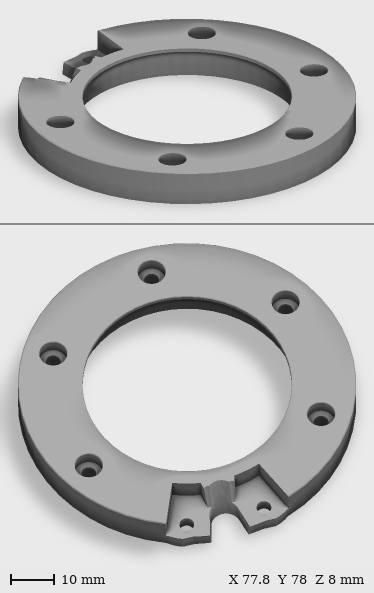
import cadquery as cq
import math

outer_radius = 39.0
bore_radius = 24.1
height = 8.0
edge_chamfer = 0.2
bore_chamfer = 0.15

lip_thickness = 1.0
lower_bore_radius = 26.05

bolt_circle_radius = 32.0
bolt_angles = (-120, -60, 0, 60, 120)
hole_radius = 1.7
counterbore_radius = 3.2
counterbore_depth = 3.4
counterbore_chamfer = 0.15

floor_height = 3.05
recess_half_angle = 22.0
recess_inner_radius = 27.6
cut_reach = 54.6
tab_hole_x = -34.4
tab_hole_y = 9.2

rib_root_x = -27.4
rib_root_half_width = 4.0
rib_flank_angle = 10.0
rib_back_top_x = -28.55
rib_groove_half_width = 3.9
rib_groove_radius = 1.0

notch_radius = 3.4
notch_center_x = -35.2
notch_flank_angle = 13.5
notch_rise_shift = 4.05

pad_face_x = -38.1
pad_start_y = 7.4
pad_corner_y = 11.1
pad_arc_middle = (-37.35, 12.9)
pad_end = (-36.2, 14.5)
pad_root_x = -34.3
pad_draft = 2.3


def make_ring():
    """Ring with its lipped bore, as one revolved section."""
    lip_z = height - lip_thickness
    section = [
        (lower_bore_radius, 0),
        (outer_radius, 0),
        (outer_radius, height - edge_chamfer),
        (outer_radius - edge_chamfer, height),
        (bore_radius + bore_chamfer, height),
        (bore_radius, height - bore_chamfer),
        (bore_radius, lip_z),
        (lower_bore_radius, lip_z),
    ]
    return cq.Workplane("XZ").polyline(section).close().revolve(360, (0, 0), (0, 1))


def lean(outline):
    """Sweep an outline at the bottom face up the leaning line of the notch."""
    path = cq.Workplane("XZ").lineTo(notch_rise_shift, height)
    return outline.sweep(path)


def make_pad():
    return (
        cq.Workplane("XY")
        .moveTo(pad_root_x, pad_start_y)
        .lineTo(pad_face_x, pad_start_y)
        .lineTo(pad_face_x, pad_corner_y)
        .threePointArc(pad_arc_middle, pad_end)
        .lineTo(pad_root_x, pad_end[1])
        .close()
        .extrude(floor_height, taper=pad_draft)
    )


def make_recess():
    """Annular sector above the floor, less the part of the rib that stays."""
    recess_height = height - floor_height
    reach_y = cut_reach * math.tan(math.radians(recess_half_angle))
    sector = (
        cq.Workplane("XY", origin=(0, 0, floor_height))
        .polyline([(0, 0), (-cut_reach, reach_y), (-cut_reach, -reach_y)])
        .close()
        .extrude(recess_height)
    )
    core = cq.Workplane("XY").circle(recess_inner_radius).extrude(height)

    rib_length = rib_root_half_width / math.tan(math.radians(rib_flank_angle))
    rib = (
        cq.Workplane("XY")
        .polyline([
            (0, rib_root_half_width),
            (rib_root_x, rib_root_half_width),
            (rib_root_x - rib_length, 0),
            (rib_root_x, -rib_root_half_width),
            (0, -rib_root_half_width),
        ])
        .close()
        .extrude(height)
    )
    return sector.cut(core).cut(rib.cut(make_rib_groove()))


def make_rib_groove():
    """Leaning groove with a round lobe in each corner that forms the back of the rib."""
    lobe_x = rib_back_top_x - notch_rise_shift - rib_groove_radius
    inner_y = rib_groove_half_width - 2 * rib_groove_radius
    outline = (
        cq.Workplane("XY")
        .moveTo(-cut_reach, rib_groove_half_width)
        .lineTo(lobe_x, rib_groove_half_width)
        .radiusArc((lobe_x, inner_y), rib_groove_radius)
        .lineTo(lobe_x, -inner_y)
        .radiusArc((lobe_x, -rib_groove_half_width), rib_groove_radius)
        .lineTo(-cut_reach, -rib_groove_half_width)
        .close()
    )
    return lean(outline)


def make_notch():
    """U outline swept along its leaning direction."""
    flank = math.radians(notch_flank_angle)
    tangent_x = notch_center_x + notch_radius * math.sin(flank)
    tangent_y = notch_radius * math.cos(flank)
    mouth_y = tangent_y + (tangent_x + cut_reach) * math.tan(flank)
    outline = (
        cq.Workplane("XY")
        .moveTo(-cut_reach, mouth_y)
        .lineTo(tangent_x, tangent_y)
        .threePointArc((notch_center_x + notch_radius, 0), (tangent_x, -tangent_y))
        .lineTo(-cut_reach, -mouth_y)
        .close()
    )
    return lean(outline)


def make_bolt_cutters():
    points = [
        (bolt_circle_radius * math.cos(math.radians(a)), bolt_circle_radius * math.sin(math.radians(a)))
        for a in bolt_angles
    ]
    holes = cq.Workplane("XY").pushPoints(points).circle(hole_radius).extrude(height)
    counterbores = (
        cq.Workplane("XY", origin=(0, 0, height))
        .pushPoints(points)
        .circle(counterbore_radius)
        .extrude(-counterbore_depth)
    )
    chamfers = (
        cq.Workplane("XY", origin=(0, 0, height))
        .pushPoints(points)
        .circle(counterbore_radius + counterbore_chamfer)
        .extrude(-counterbore_chamfer, taper=45)
    )
    return holes.union(counterbores).union(chamfers)


def make_tab_holes():
    points = [(tab_hole_x, tab_hole_y), (tab_hole_x, -tab_hole_y)]
    return cq.Workplane("XY").pushPoints(points).circle(hole_radius).extrude(height)


pad = make_pad()
result = (
    make_ring()
    .union(pad)
    .union(pad.mirror("XZ"))
    .cut(make_recess())
    .cut(make_notch())
    .cut(make_bolt_cutters())
    .cut(make_tab_holes())
)